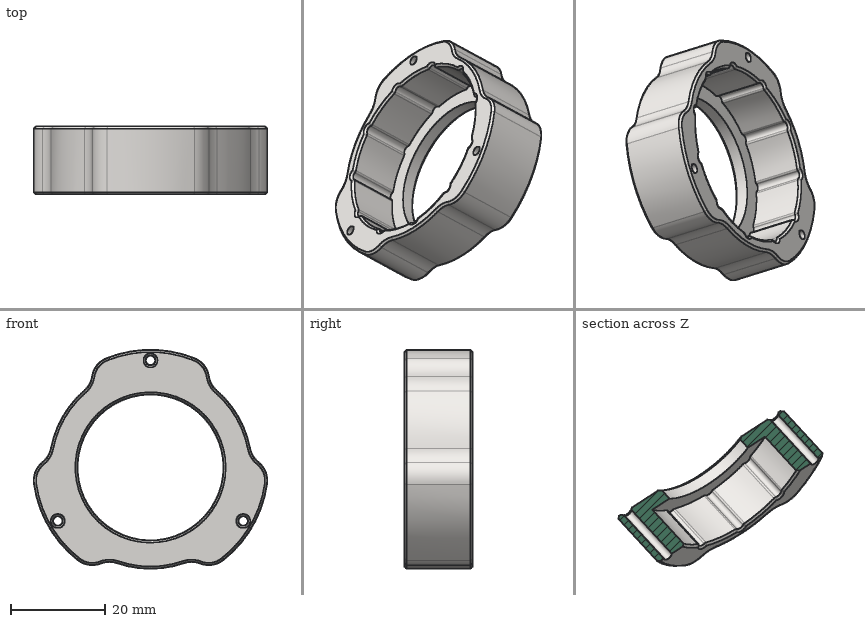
import cadquery as cq
import math

THICKNESS = 14.5
LOBE_RADIUS = 25.0
WAIST_RADIUS = 21.5
FLANK_RADIUS = 5.0
LOBE_HALF_ANGLE = 21.9
LOBE_COUNT = 3
LOBE_PITCH = 360 / LOBE_COUNT
LOBE_ANGLES = [90 + i * LOBE_PITCH for i in range(LOBE_COUNT)]
EDGE_CHAMFER = 0.5

LIP_RADIUS = 15.45
LIP_DEPTH = 3.15
SOCKET_RADIUS = 18.9

GROOVE_COUNT = 11
GROOVE_PITCH = 360 / GROOVE_COUNT
GROOVE_ANGLES = [-90 + i * GROOVE_PITCH for i in range(GROOVE_COUNT)]
GROOVE_RADIUS = 1.0
GROOVE_CENTER_RADIUS = 18.6
GROOVE_MOUTH_ROUND = 0.55

HOLE_RADIUS = 1.0
HOLE_CIRCLE_RADIUS = 22.7


def polar(radius, angle):
    """(X, Z) at a radius and an angle in degrees from +X towards +Z."""
    return radius * math.cos(math.radians(angle)), radius * math.sin(math.radians(angle))


def midpoint(a, b):
    return (a[0] + b[0]) / 2, (a[1] + b[1]) / 2


def point_towards(center, target, distance):
    """Point at a distance from center, on the ray towards target."""
    dx, dz = target[0] - center[0], target[1] - center[1]
    length = math.hypot(dx, dz)
    return center[0] + distance * dx / length, center[1] + distance * dz / length


def plane_at(depth):
    """XZ workplane at a depth behind the front face; extrude(-d) runs towards +Y."""
    return cq.Workplane("XZ", origin=(0, depth, 0))


def lobed_outline():
    """Lobe and waist arcs joined by pairs of equal, tangent flank rounds."""
    crest_center_radius = LOBE_RADIUS - FLANK_RADIUS
    hollow_center_radius = WAIST_RADIUS + FLANK_RADIUS
    flank_angle = math.degrees(math.acos(
        (crest_center_radius**2 + hollow_center_radius**2 - (2 * FLANK_RADIUS) ** 2)
        / (2 * crest_center_radius * hollow_center_radius)
    ))
    waist_start = LOBE_HALF_ANGLE + flank_angle

    def flank(lobe_angle, side):
        """Lobe end, crest mid, crossover, hollow mid and waist end of one flank."""
        lobe_end = polar(LOBE_RADIUS, lobe_angle + side * LOBE_HALF_ANGLE)
        waist_end = polar(WAIST_RADIUS, lobe_angle + side * waist_start)
        crest = polar(crest_center_radius, lobe_angle + side * LOBE_HALF_ANGLE)
        hollow = polar(hollow_center_radius, lobe_angle + side * waist_start)
        crossover = midpoint(crest, hollow)
        crest_mid = point_towards(crest, midpoint(lobe_end, crossover), FLANK_RADIUS)
        hollow_mid = point_towards(hollow, midpoint(crossover, waist_end), FLANK_RADIUS)
        return lobe_end, crest_mid, crossover, hollow_mid, waist_end

    outline = plane_at(0).moveTo(*polar(LOBE_RADIUS, LOBE_ANGLES[0] - LOBE_HALF_ANGLE))
    for angle in LOBE_ANGLES:
        lobe_end, crest_mid, crossover, hollow_mid, waist_end = flank(angle, 1)
        outline = outline.threePointArc(polar(LOBE_RADIUS, angle), lobe_end)
        outline = outline.threePointArc(crest_mid, crossover)
        outline = outline.threePointArc(hollow_mid, waist_end)

        lobe_end, crest_mid, crossover, hollow_mid, waist_end = flank(angle + LOBE_PITCH, -1)
        waist_mid = polar(WAIST_RADIUS, angle + LOBE_PITCH / 2)
        outline = outline.threePointArc(waist_mid, waist_end)
        outline = outline.threePointArc(hollow_mid, crossover)
        outline = outline.threePointArc(crest_mid, lobe_end)
    return outline.close()


def socket():
    """Wide bore open to the back, ringed by axial grooves with rounded mouths."""
    length = THICKNESS - LIP_DEPTH
    bore = plane_at(LIP_DEPTH).circle(SOCKET_RADIUS).extrude(-length)
    centers = [polar(GROOVE_CENTER_RADIUS, angle) for angle in GROOVE_ANGLES]
    grooves = plane_at(LIP_DEPTH).pushPoints(centers).circle(GROOVE_RADIUS).extrude(-length)
    return bore.union(grooves).edges("|Y").fillet(GROOVE_MOUTH_ROUND)


def lip_bore():
    """Plain round opening through the lip."""
    return plane_at(0).circle(LIP_RADIUS).extrude(-LIP_DEPTH)


def screw_holes():
    """One through hole in the middle of each lobe."""
    centers = [polar(HOLE_CIRCLE_RADIUS, angle) for angle in LOBE_ANGLES]
    return plane_at(0).pushPoints(centers).circle(HOLE_RADIUS).extrude(-THICKNESS)


body = lobed_outline().extrude(-THICKNESS)

body = body.cut(socket())
body = body.faces(">Y").chamfer(EDGE_CHAMFER)

body = body.cut(lip_bore()).cut(screw_holes())
result = body.faces("<Y").chamfer(EDGE_CHAMFER)